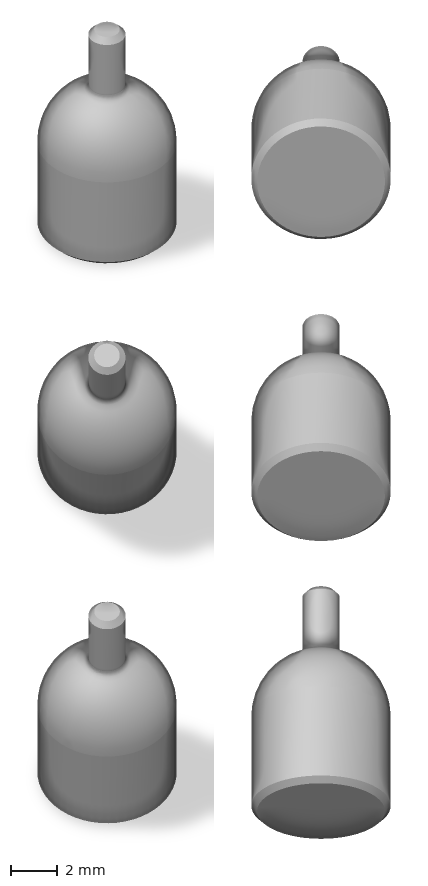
import cadquery as cq

total_height = 10.47
body_diameter = 6.0
cylinder_height = 4.5
pin_diameter = 1.6
chamfer_size = 0.25
pin_root_fillet = 0.2

body_radius = body_diameter / 2
pin_radius = pin_diameter / 2

cylinder = cq.Workplane("XY").circle(body_radius).extrude(cylinder_height)
cylinder = cylinder.faces("<Z").chamfer(chamfer_size)
dome = cq.Workplane("XY").sphere(body_radius).translate((0, 0, cylinder_height))
upper_half = (
    cq.Workplane("XY")
    .workplane(offset=cylinder_height)
    .circle(body_diameter)
    .extrude(body_diameter)
)
body = cylinder.union(dome.intersect(upper_half))

pin = (
    cq.Workplane("XY")
    .workplane(offset=cylinder_height)
    .circle(pin_radius)
    .extrude(total_height - cylinder_height)
    .faces(">Z")
    .chamfer(chamfer_size)
)

dome_rise_at_pin = (body_radius**2 - pin_radius**2) ** 0.5
root_height = cylinder_height + dome_rise_at_pin
search_margin = 0.1
root_selector = cq.selectors.BoxSelector(
    (-pin_radius, -pin_radius, root_height - search_margin),
    (pin_radius, pin_radius, root_height + search_margin),
    boundingbox=False,
)
result = body.union(pin).edges("%CIRCLE").edges(root_selector).fillet(pin_root_fillet)